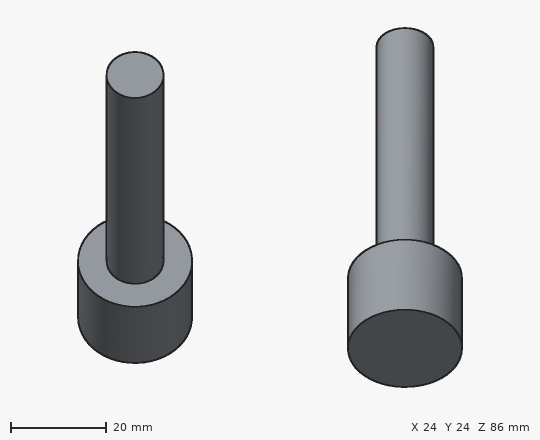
import cadquery as cq

head_diameter = 24.0
head_height = 20.0
shank_diameter = 12.0
overall_height = 86.0
shank_length = overall_height - head_height


def make_head():
    """Cylindrical head resting on the XY plane."""
    return cq.Workplane("XY").circle(head_diameter / 2).extrude(head_height)


def make_shank():
    """Slimmer coaxial shank rising from the top of the head."""
    return (
        cq.Workplane("XY")
        .workplane(offset=head_height)
        .circle(shank_diameter / 2)
        .extrude(shank_length)
    )


result = make_head().union(make_shank())